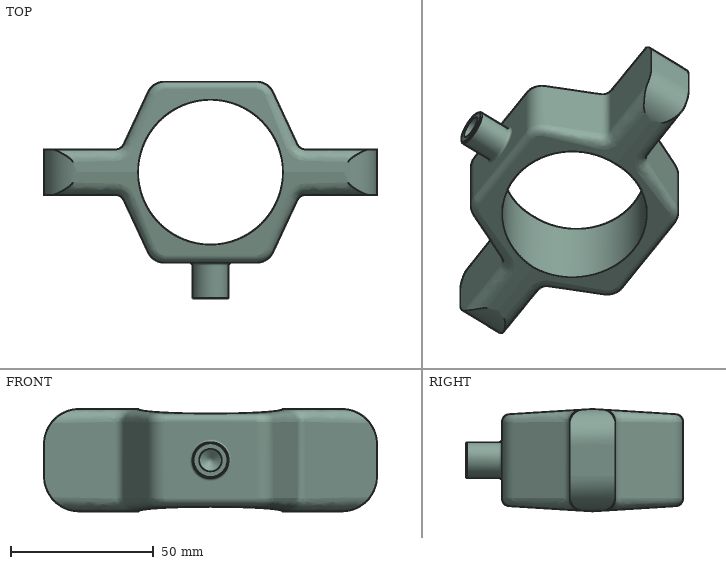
import cadquery as cq
import math

length = 116.8
ridge_height = 36.0
body_depth = 63.6
arm_width = 16.0
bore_diameter = 50.7

side_angle = 25.0
corner_half_width = 20.2
corner_radius = 6.5
arm_root_radius = 3.2
tip_radius = 12.5

edge_height = 32.0
straight_wall_height = 26.4
arm_rim_growth = 0.8

spigot_diameter = 12.7
spigot_length = 12.6
spigot_hole_diameter = 8.0
spigot_hole_depth = 14.0
drill_point_angle = 118.0
spigot_root_radius = 0.9
spigot_tip_chamfer = 0.5

tolerance = 0.1

half_depth = body_depth / 2
half_arm = arm_width / 2
arm_root_x = corner_half_width + (half_depth - half_arm) * math.tan(math.radians(side_angle))
arm_blank_x = length / 2 + tip_radius


def roof_z(y):
    """Height of the sloping top face above the mid plane."""
    return (ridge_height - (ridge_height - edge_height) * abs(y) / half_depth) / 2


def make_blank():
    """Collar and arms with rounded vertical corners and sloping top and bottom."""
    quarter = [
        (arm_blank_x, half_arm),
        (arm_root_x, half_arm),
        (corner_half_width, half_depth),
    ]
    back = quarter + [(-x, y) for x, y in reversed(quarter)]
    outline = back + [(-x, -y) for x, y in back]
    plan = cq.Workplane("XY").polyline(outline).close().extrude(ridge_height / 2, both=True)

    def vertical_edges(x):
        """Pick the upright edges at x and at -x."""
        selector = None
        for sign in (-1, 1):
            near = cq.selectors.BoxSelector(
                (sign * x - tolerance, -body_depth, -ridge_height),
                (sign * x + tolerance, body_depth, ridge_height),
            )
            selector = near if selector is None else selector + near
        return plan.edges("|Z").edges(selector)

    plan = vertical_edges(corner_half_width).fillet(corner_radius)
    plan = vertical_edges(arm_root_x).fillet(arm_root_radius)

    side = [
        (-half_depth, roof_z(half_depth)),
        (0, roof_z(0)),
        (half_depth, roof_z(half_depth)),
        (half_depth, -roof_z(half_depth)),
        (0, -roof_z(0)),
        (-half_depth, -roof_z(half_depth)),
    ]
    roof = cq.Workplane("YZ").polyline(side).close().extrude(arm_blank_x, both=True)
    return plan.intersect(roof)


def round_rims(blank):
    """Round the top and bottom rims with a radius that follows the wall height."""
    solid = blank.val()
    fillet = cq.occ_impl.shapes.BRepFilletAPI_MakeFillet(solid.wrapped)
    wall_z = straight_wall_height / 2
    for edge in solid.Edges():
        center = edge.Center()
        on_rim = abs(center.z) > wall_z and abs(center.y) > half_arm - tolerance
        if on_rim and fillet.Contour(edge.wrapped) == 0:
            fillet.Add(edge.wrapped)
    for contour in range(1, fillet.NbContours() + 1):
        for index in range(1, fillet.NbEdges(contour) + 1):
            edge = cq.Edge(fillet.Edge(contour, index))
            for vertex in edge.Vertices():
                rim_radius = roof_z(vertex.Y) - wall_z
                if abs(vertex.X) > length / 2:
                    rim_radius += arm_rim_growth
                fillet.SetRadius(rim_radius, contour, vertex.wrapped)
    return cq.Workplane(cq.Shape.cast(fillet.Shape()))


def round_tips(body):
    """Trim the arms to length and round their ends in the XZ plane."""
    envelope = cq.Workplane("XY").box(length, body_depth, ridge_height)
    return body.intersect(envelope.edges("|Y").fillet(tip_radius))


def add_spigot(body):
    """Add the flared, hollow spigot on the -Y face."""
    radius = spigot_diameter / 2
    tip_y = -half_depth - spigot_length
    wall_overlap = 1.2
    profile = (
        cq.Workplane("XY")
        .moveTo(0, tip_y)
        .lineTo(radius - spigot_tip_chamfer, tip_y)
        .lineTo(radius, tip_y + spigot_tip_chamfer)
        .lineTo(radius, -half_depth - spigot_root_radius)
        .radiusArc((radius + spigot_root_radius, -half_depth), spigot_root_radius)
        .lineTo(radius + spigot_root_radius, -half_depth + wall_overlap)
        .lineTo(0, -half_depth + wall_overlap)
        .close()
    )
    spigot = profile.revolve(360, (0, 0), (0, 1))

    hole_radius = spigot_hole_diameter / 2
    bottom_y = tip_y + spigot_hole_depth
    cone_depth = hole_radius / math.tan(math.radians(drill_point_angle / 2))
    hole = (
        cq.Workplane("XY")
        .polyline([(0, tip_y), (hole_radius, tip_y), (hole_radius, bottom_y), (0, bottom_y + cone_depth)])
        .close()
        .revolve(360, (0, 0), (0, 1))
    )
    return body.union(spigot).cut(hole)


bore = cq.Workplane("XY").circle(bore_diameter / 2).extrude(ridge_height, both=True)
collar = round_tips(round_rims(make_blank())).cut(bore)
result = add_spigot(collar)